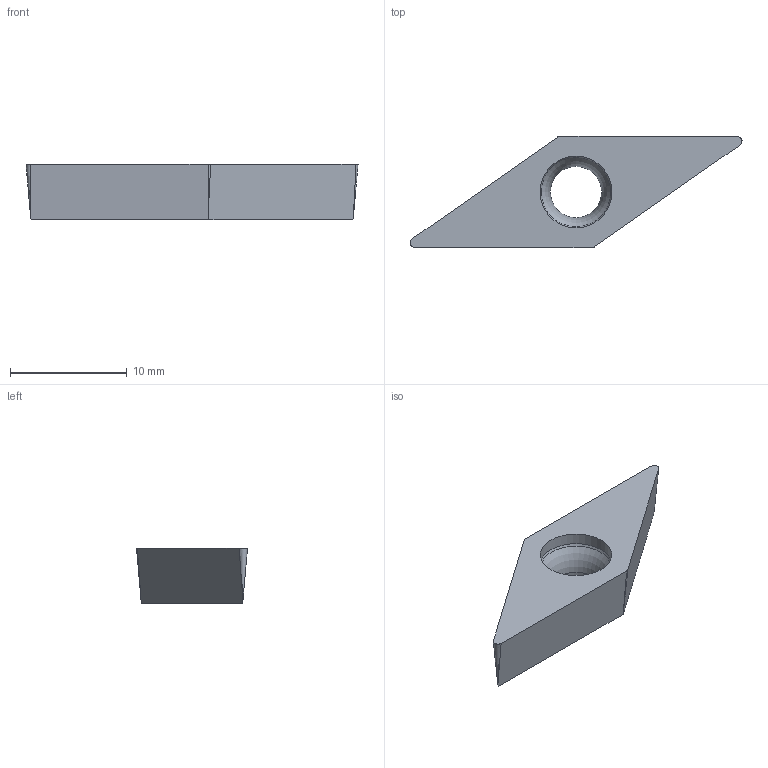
import math

import cadquery as cq

inscribed_circle = 9.525
thickness = 4.76
nose_angle = math.radians(35)
clearance_angle_deg = 5
corner_radius = 0.397

bore_diameter = 4.4
mouth_diameter = 6.15
mouth_depth = 1.0
step_depth = 0.2
seat_depth = 2.2
seat_radius = 3.5


def rhombus_corners():
    """Sharp corners of the top outline, counter-clockwise from the left nose."""
    side = inscribed_circle / math.sin(nose_angle)
    half_width = inscribed_circle / 2
    nose_x = side * (1 + math.cos(nose_angle)) / 2
    blunt_x = side - nose_x
    return [
        (-nose_x, -half_width),
        (blunt_x, -half_width),
        (nose_x, half_width),
        (-blunt_x, half_width),
    ]


def make_body():
    """Block tapering downward; its conical corner roundings run out just above the base."""
    corners = rhombus_corners()
    outline = cq.Sketch().polygon(corners + corners[:1]).vertices().fillet(corner_radius)
    top_plane = cq.Workplane("XY", origin=(0, 0, thickness))
    return top_plane.placeSketch(outline).extrude(-thickness, taper=clearance_angle_deg)


def make_screw_hole():
    """Revolved cutter whose convex seat blends tangentially into the bore."""
    bore_radius = bore_diameter / 2
    mouth_radius = mouth_diameter / 2
    mouth_z = thickness - mouth_depth
    seat_top_z = mouth_z - step_depth
    seat_bottom_z = seat_top_z - seat_depth

    arc_center_x = bore_radius + seat_radius
    seat_angle = math.asin(seat_depth / seat_radius)
    seat_top_x = arc_center_x - seat_radius * math.cos(seat_angle)
    seat_middle = (
        arc_center_x - seat_radius * math.cos(seat_angle / 2),
        seat_bottom_z + seat_radius * math.sin(seat_angle / 2),
    )
    return (
        cq.Workplane("XZ")
        .moveTo(0, thickness)
        .lineTo(mouth_radius, thickness)
        .lineTo(mouth_radius, mouth_z)
        .lineTo(seat_top_x, seat_top_z)
        .threePointArc(seat_middle, (bore_radius, seat_bottom_z))
        .lineTo(bore_radius, 0)
        .lineTo(0, 0)
        .close()
        .revolve(360, (0, 0, 0), (0, 1, 0))
    )


result = make_body().cut(make_screw_hole())